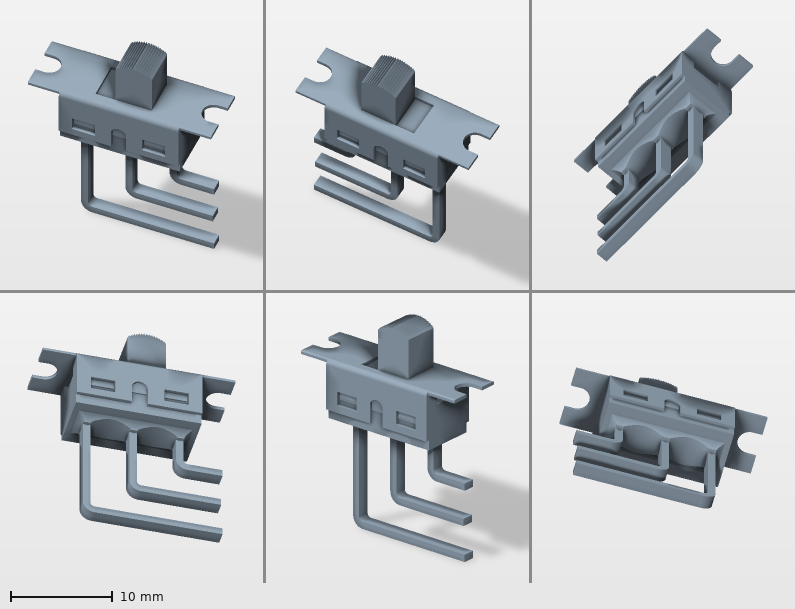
import cadquery as cq
import math


total_height = 23.42

flange_length = 19.55
body_length = 12.76
cover_width = 6.6
ear_width = 6.15
sheet = 0.37
bend_radius = 0.52
cover_depth = 5.32
notch_diameter = 2.4
notch_center_inset = 1.0

base_width = cover_width - 2 * sheet
base_bottom = -6.37
end_pocket_width = 3.35
end_pocket_floor = -1.85
end_pocket_depth = 1.17

opening_length = 6.0
opening_width = 4.03
lever_length = 3.89
lever_width = 3.89
lever_x = (opening_length - lever_length) / 2
lever_top = 5.08
lever_shoulder = 4.22

tooth_count = 15
knurl_length = 3.47
tooth_pitch = knurl_length / (tooth_count - 1)
tip_arc_radius = 2.88
root_arc_radius = 3.5
tooth_depth = 0.28
root_offset = 0.25

window_x = 3.75
window_length = 2.48
window_top = -3.05
window_bottom = -4.52
latch_length = 2.25
latch_inner_x = 2.6
latch_slope_height = 0.56
latch_bottom = -3.9
latch_reach = 0.15
slot_width = 1.65
slot_arc_center = -3.42
slot_boss_width = 1.5

pin_pitch = 4.73
pin_thickness = 0.77
pin_width = 1.3
pin_inner_radius = 0.45
pin_outer_radius = pin_inner_radius + pin_thickness
lowest_pin_bottom = lever_top - total_height
pin_level_spacing = 3.82
outer_pin_end = 9.09
middle_pin_end = 8.95

seal_depth = 0.65
seal_rim = 0.15
seal_length = 11.57
seal_width = 3.55
seal_rim_width = 2.08
seal_valley_depth = 0.15
seal_sag = 0.05


def block(x_min, x_max, width, z_min, z_max, y_center=0.0):
    """Box between two X and two Z limits, centred on y_center."""
    return (
        cq.Workplane("XY")
        .box(x_max - x_min, width, z_max - z_min, centered=(False, True, False))
        .translate((x_min, y_center, z_min))
    )


def extrude_along_y(outline, width):
    """Extrude an XZ outline symmetrically about the XZ plane."""
    return outline.extrude(width / 2, both=True)


def extrude_along_x(outline, length):
    """Extrude a YZ outline symmetrically about the YZ plane."""
    return outline.extrude(length / 2, both=True)


def both_sides(shape):
    """The shape together with its mirror image across the XZ plane."""
    return shape.union(shape.mirror("XZ"))


def rounded_bar(length, depth):
    """Bar as wide as the cover, hanging from Z = 0, with its long top edges rounded."""
    bar = block(-length / 2, length / 2, cover_width, -depth, 0)
    return bar.edges("|X and >Z").fillet(bend_radius)


def make_housing():
    """Cover over the base, with the flange ears, notches, opening and end pockets."""
    ears = rounded_bar(flange_length, cover_width / 2)
    ears = ears.intersect(block(-flange_length / 2, flange_length / 2, ear_width, -sheet, 0))
    base = block(-body_length / 2, body_length / 2, base_width, base_bottom, -sheet)
    housing = rounded_bar(body_length, cover_depth).union(base).union(ears)
    opening = block(-opening_length / 2, opening_length / 2, opening_width, -sheet, 0)
    housing = housing.cut(opening)
    for side in (-1, 1):
        housing = housing.cut(make_notch(side)).cut(make_end_pocket(side))
    return housing


def make_notch(side):
    """Round-bottomed mounting notch, open at one end of the flange."""
    end_x = flange_length / 2
    return (
        cq.Workplane("XY", origin=(side * end_x, 0, -sheet))
        .slot2D(2 * notch_center_inset + notch_diameter, notch_diameter)
        .extrude(sheet)
    )


def make_end_pocket(side):
    """Pocket in one end of the body, just under the flange."""
    end_x = body_length / 2
    pocket = block(end_x - end_pocket_depth, end_x, end_pocket_width, end_pocket_floor, -sheet)
    return pocket if side > 0 else pocket.mirror("YZ")


def make_side_openings():
    """Two windows and the arched centre slot, through the cover wall on both sides."""
    wall_y = -(base_width + sheet) / 2
    cutter = (
        cq.Workplane("XZ", origin=(0, -base_width / 2, 0))
        .moveTo(-slot_width / 2, -cover_depth)
        .lineTo(-slot_width / 2, slot_arc_center)
        .threePointArc((0, slot_arc_center + slot_width / 2), (slot_width / 2, slot_arc_center))
        .lineTo(slot_width / 2, -cover_depth)
        .close()
        .extrude(sheet)
    )
    for center_x in (-window_x, window_x):
        x_min = center_x - window_length / 2
        x_max = center_x + window_length / 2
        cutter = cutter.union(block(x_min, x_max, sheet, window_bottom, window_top, wall_y))
    return both_sides(cutter)


def make_latches():
    """Wedge latches in the windows and a flat boss in the centre slot, on both sides."""
    wall_y = -base_width / 2
    wedge = (
        cq.Workplane("YZ", origin=(latch_inner_x, 0, 0))
        .moveTo(wall_y, window_top)
        .lineTo(wall_y - latch_reach, window_top - latch_slope_height)
        .lineTo(wall_y - latch_reach, latch_bottom)
        .lineTo(wall_y, latch_bottom)
        .close()
        .extrude(latch_length)
    )
    boss = block(
        -slot_boss_width / 2,
        slot_boss_width / 2,
        latch_reach,
        latch_bottom,
        slot_arc_center + slot_width / 2,
        wall_y - latch_reach / 2,
    )
    return both_sides(boss.union(wedge).union(wedge.mirror("YZ")))


def arc_drop(radius, offset):
    """Fall of a circular arc below its crown at a horizontal offset."""
    return radius - math.sqrt(radius**2 - offset**2)


def make_lever():
    """Lever whose crowned top carries saw teeth leaning towards its middle."""
    middle = tooth_count // 2
    left_half = []
    for index in range(-middle, 0):
        tip_x = index * tooth_pitch
        root_x = tip_x + root_offset * tooth_pitch
        left_half.append((tip_x, lever_top - arc_drop(tip_arc_radius, tip_x)))
        left_half.append((root_x, lever_top - tooth_depth - arc_drop(root_arc_radius, root_x)))
    right_half = [(-x, z) for x, z in reversed(left_half)]
    half = lever_length / 2
    outline = (
        [(-half, -sheet), (-half, lever_shoulder)]
        + left_half
        + [(0, lever_top)]
        + right_half
        + [(half, lever_shoulder), (half, -sheet)]
    )
    lever = extrude_along_y(cq.Workplane("XZ").polyline(outline).close(), lever_width)
    return lever.translate((lever_x, 0, 0))


def make_pin(center_x, bottom_z, end_x):
    """Flat pin going down from the base and bending towards +X."""
    left_x = center_x - pin_thickness / 2
    right_x = center_x + pin_thickness / 2
    bend_x = left_x + pin_outer_radius
    bend_z = bottom_z + pin_outer_radius
    diagonal = math.sqrt(0.5)
    outer_mid = (bend_x - pin_outer_radius * diagonal, bend_z - pin_outer_radius * diagonal)
    inner_mid = (bend_x - pin_inner_radius * diagonal, bend_z - pin_inner_radius * diagonal)
    outline = (
        cq.Workplane("XZ")
        .moveTo(left_x, base_bottom)
        .lineTo(left_x, bend_z)
        .threePointArc(outer_mid, (bend_x, bottom_z))
        .lineTo(end_x, bottom_z)
        .lineTo(end_x, bottom_z + pin_thickness)
        .lineTo(bend_x, bottom_z + pin_thickness)
        .threePointArc(inner_mid, (right_x, bend_z))
        .lineTo(right_x, base_bottom)
        .close()
    )
    return extrude_along_y(outline, pin_width)


def make_seal():
    """Compound under the base that climbs each pin in concave fillets."""
    rim_z = base_bottom - seal_depth
    flare_z = rim_z + seal_rim
    valley_z = base_bottom - seal_valley_depth
    half_pin = pin_thickness / 2
    half_length = seal_length / 2
    outer_x = pin_pitch + half_pin
    flare_mid_x = (outer_x + half_length) / 2 - seal_sag
    flare_mid_z = (base_bottom + flare_z) / 2 + seal_sag
    lengthwise = (
        cq.Workplane("XZ")
        .moveTo(-half_length, base_bottom)
        .threePointArc((-flare_mid_x, flare_mid_z), (-outer_x, flare_z))
        .lineTo(-outer_x, rim_z)
    )
    for gap_x in (-pin_pitch / 2, pin_pitch / 2):
        start_x = gap_x - pin_pitch / 2 + half_pin
        end_x = gap_x + pin_pitch / 2 - half_pin
        lengthwise = (
            lengthwise.lineTo(start_x, rim_z)
            .lineTo(start_x, flare_z)
            .threePointArc((gap_x, valley_z), (end_x, flare_z))
            .lineTo(end_x, rim_z)
        )
    lengthwise = (
        lengthwise.lineTo(outer_x, rim_z)
        .lineTo(outer_x, flare_z)
        .threePointArc((flare_mid_x, flare_mid_z), (half_length, base_bottom))
        .close()
    )
    half_width = seal_width / 2
    half_rim = seal_rim_width / 2
    flare_mid_y = (half_width + half_rim) / 2 - seal_sag
    crosswise = (
        cq.Workplane("YZ")
        .moveTo(-half_width, base_bottom)
        .threePointArc((-flare_mid_y, flare_mid_z), (-half_rim, flare_z))
        .lineTo(-half_rim, rim_z)
        .lineTo(half_rim, rim_z)
        .lineTo(half_rim, flare_z)
        .threePointArc((flare_mid_y, flare_mid_z), (half_width, base_bottom))
        .close()
    )
    return extrude_along_y(lengthwise, seal_width).intersect(extrude_along_x(crosswise, seal_length))


result = make_housing().cut(make_side_openings()).union(make_latches())
result = result.union(make_lever()).union(make_seal())
pin_ends = (outer_pin_end, middle_pin_end, outer_pin_end)
for level, pin_end in enumerate(pin_ends):
    pin_x = (level - 1) * pin_pitch
    pin_bottom = lowest_pin_bottom + level * pin_level_spacing
    result = result.union(make_pin(pin_x, pin_bottom, pin_end))